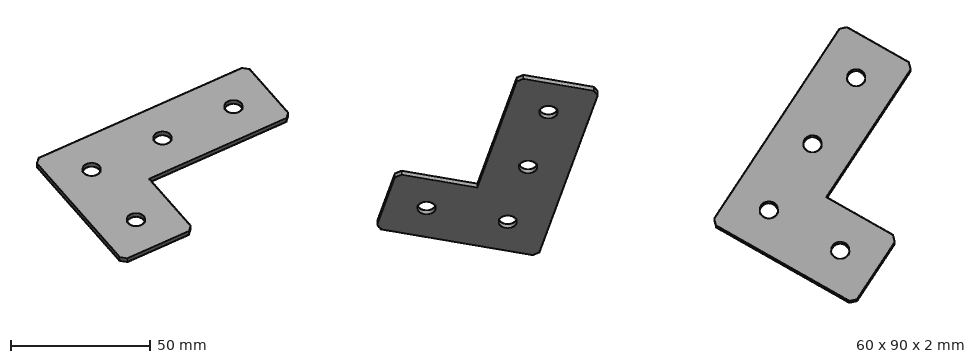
import cadquery as cq

length = 90.0
cell = length / 3
thickness = 2.0
corner_chamfer = 2.0
hole_diameter = 6.6

width = 2 * cell

plate = (
    cq.Workplane("XY")
    .polyline([(0, 0), (width, 0), (width, cell), (cell, cell), (cell, length), (0, length)])
    .close()
    .extrude(thickness)
)

inner_corner = cq.selectors.BoxSelector(
    (cell / 2, cell / 2, 0),
    (cell * 1.5, cell * 1.5, thickness),
)
outer_corners = cq.selectors.ParallelDirSelector(cq.Vector(0, 0, 1)) - inner_corner
plate = plate.edges(outer_corners).chamfer(corner_chamfer)

cell_positions = [(0, 0), (0, 1), (0, 2), (1, 0)]
hole_centers = [((column + 0.5) * cell, (row + 0.5) * cell) for column, row in cell_positions]
holes = (
    cq.Workplane("XY")
    .pushPoints(hole_centers)
    .circle(hole_diameter / 2)
    .extrude(thickness)
)

result = plate.cut(holes)